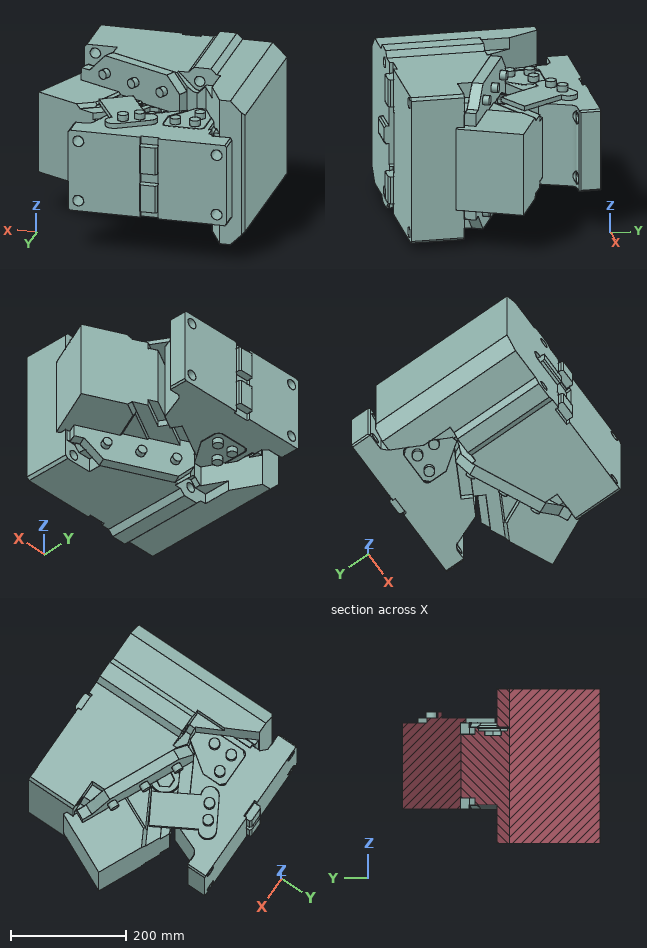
import cadquery as cq
import math


block_length = 340.0
block_top = 285.0
block_half_width = 134.5
left_chamfer = 25.5
right_chamfer = 5.0
lip_chamfer_x = 5.5
lip_chamfer_y = 4.5
end_height = 94.0
end_ledge_x = 281.0
notch_top_x = 45.0
notch_bottom_x = 96.0
notch_bottom_y = 185.0
notch_floor_width = 16.3

boss_length = 174.0
boss_height = 145.0
boss_crest_width = 30.5
upper_boss_centre = 105.3
lower_boss_centre = 110.5
hole_diameter = 18.5
hole_xs = (110.5, 319.8)
hole_z = 119.5

pocket_left = 73.0
pocket_right = 148.5
pocket_step_x = 98.5
pocket_step = 11.5
pocket_low_z = 102.5
pocket_corner_radius = 14.5
ledge_high_z = 107.3
ledge_step_x = 306.5

outer_pad_x = 56.0
outer_pad_top = 283.2
inner_pad_x = 66.0
inner_pad_top = 279.3
outer_pad_half_width = 71.5
inner_pad_half_width = 67.5

keyway_left = 153.7
keyway_width = 33.0
keyway_depth = 6.5
recess_overhang = 3.5
recess_half_width = 58.0
recess_end_half_width = 60.5
recess_depth = 9.5
key_length = 50.0
key_height = 8.7
key_chamfer = 3.0
driver_key_z = 89.8
cross_key_left = 99.5

plate_angle = 25.0
plate_x = 137.0
plate_y = 209.0
plate_thickness = 20.0
plate_left_slope = 29.0
plate_slope_start = 169.2
plate_slope_end = 196.2
plate_step_end = 205.5
plate_left_z = 105.5
plate_tail_z = 98.5
screw_diameter = 16.5
screw_head = 11.5
screw_first = 36.0
screw_spacing = 64.8
screw_z = 103.3

guide_angle = 28.5
guide_x = 310.3
guide_y = 226.5
guide_jog = 81.5
slide_low_offset = 39.0
ledge_left_offset = 45.5
ledge_right_offset = 24.0

slide_tip_x = 397.2
slide_tip_y = 187.0
slide_end_length = 120.5
slide_half_width = 75.0
raised_length = 107.0
deck_drop = 4.5
shelf_drop = 7.5
core_drop = 19.5
raised_chamfer = 4.0
raised_guide_chamfer = 6.8
socket_x = 192.0
socket_y = 186.7
socket_radius = 26.0
socket_rim_radius = 28.0
socket_rim_depth = 2.0
socket_depth = 6.0
hexagon_diameter = 32.5
hexagon_depth = 8.0

flange_left = 16.3
flange_right = 301.0
flange_bottom = 306.3
flange_top = 344.5
flange_chamfer = 3.0
neck_left = 60.5
neck_chamfer = 9.5
neck_right_x = 271.7
neck_fillet = 14.0
neck_lean = 21.3
holder_key_left = 139.5
holder_key_width = 32.0
holder_keyway_depth = 5.5
holder_key_z = 35.8
mount_hole_diameter = 19.5
mount_hole_inset = 18.0
spotface_diameter = 26.0
mount_hole_z = 55.5

guard_left = 76.0
guard_right = 150.0
guard_top = 280.5
guard_shoulder = 238.0
guard_corner = 8.7
guard_recess_depth = 3.0
guard_thickness = 1.5
guard_screw_top_z = 84.2
guard_screw_diameter = 18.5
guard_screws = ((95.7, 260.2), (131.0, 260.2), (95.7, 225.0))

retainer_angle = 30.0
retainer_x = 176.8
retainer_y = 271.0
retainer_length = 61.0
retainer_radius = 16.0
retainer_stem = 102.0
retainer_thickness = 8.7
retainer_pin_spacing = 30.0
retainer_pin_diameter = 18.5
retainer_pin_height = 11.0


def along(x, y, angle, distance, offset=0.0):
    """Point at a distance along a direction and at an offset to the left of it."""
    a = math.radians(angle)
    return (
        x + distance * math.cos(a) - offset * math.sin(a),
        y + distance * math.sin(a) + offset * math.cos(a),
    )


def on_plate(distance, height=0.0):
    """Point on the foot plate, measured down its top line and away from it."""
    return along(plate_x, plate_y, -plate_angle, distance, height)


def on_guide(distance, offset):
    """Point on the guide, measured back from its upper end and upwards from its line."""
    return along(guide_x, guide_y, guide_angle, -distance, offset)


def on_slide(distance, drop=0.0):
    """Point on the slide, measured back from its tip and down from its top line."""
    return along(slide_tip_x, slide_tip_y, -plate_angle, -distance, -drop)


def meet(p, angle_p, q, angle_q):
    """Crossing point of two lines, each given by a point and an angle."""
    a = math.radians(angle_p)
    b = math.radians(angle_q)
    t = ((q[0] - p[0]) * math.sin(b) - (q[1] - p[1]) * math.cos(b)) / math.sin(b - a)
    return along(*p, angle_p, t)


def prism(points, low, high):
    """Outline in XY extruded from one Z level to another."""
    return cq.Workplane("XY").workplane(offset=low).polyline(points).close().extrude(high - low)


def slab(points, half_width):
    """Outline in XY extruded equally to both sides of the middle plane."""
    return prism(points, -half_width, half_width)


def profile_along_y(points, start, end):
    """Outline in XZ extruded from one Y level to another."""
    return cq.Workplane("XZ", origin=(0, start, 0)).polyline(points).close().extrude(start - end)


def box(x0, x1, y0, y1, z0, z1):
    """Box between two corners."""
    return cq.Workplane("XY").box(x1 - x0, y1 - y0, z1 - z0, False).translate((x0, y0, z0))


def upright(x, y, diameter, low, high):
    """Cylinder along Z."""
    return cq.Workplane("XY", origin=(x, y, low)).circle(diameter / 2).extrude(high - low)


def both_sides(shape):
    """Shape joined with its mirror image on the other Z side."""
    return shape.union(shape.mirror("XY"))


plate_length = (block_length - plate_x) / math.cos(math.radians(plate_angle))
plate_corner = (plate_x, plate_y)
ramp_start = on_plate(0, -plate_thickness)
ramp_end = meet(ramp_start, -plate_angle, (0, end_height), 0)
notch_slope = math.degrees(math.atan2(notch_bottom_y - block_top, notch_bottom_x - notch_top_x))
notch_floor_right = notch_bottom_x + notch_floor_width
pad_foot = meet((notch_top_x, block_top), notch_slope, (inner_pad_x, 0), 90)
guard_foot = meet((notch_top_x, block_top), notch_slope, (guard_left, 0), 90)
guard_slope = math.degrees(
    math.atan2(guard_shoulder - notch_bottom_y, guard_right - notch_floor_right)
)
guide_tilt = math.radians(guide_angle)
bearing_offset = (plate_y - guide_y) * math.cos(guide_tilt) - (plate_x - guide_x) * math.sin(guide_tilt)
heel = meet((notch_floor_right, notch_bottom_y), guard_slope, plate_corner, guide_angle)




def driver_block():
    """Block with its side outline in XZ, its V notch and its ramp."""
    section = [
        (0, block_half_width - left_chamfer),
        (left_chamfer, block_half_width),
        (block_length - right_chamfer, block_half_width),
        (block_length, block_half_width - right_chamfer),
    ]
    mirrored = [(x, -z) for x, z in reversed(section)]
    body = profile_along_y(section + mirrored, 0, block_top)
    outline = [
        (0, 0),
        (block_length, 0),
        (block_length, end_height),
        ramp_end,
        ramp_start,
        (notch_floor_right, notch_bottom_y),
        (notch_bottom_x, notch_bottom_y),
        (notch_top_x, block_top),
        (lip_chamfer_x, block_top),
        (0, block_top - lip_chamfer_y),
    ]
    return body.intersect(slab(outline, block_half_width))


def side_boss(centre):
    """Rib of trapezium section on the +Z side of the block, with 45 degree flanks."""
    height = boss_height - block_half_width
    half_crest = boss_crest_width / 2
    half_foot = half_crest + height
    points = [
        (centre - half_foot, block_half_width),
        (centre - half_crest, boss_height),
        (centre + half_crest, boss_height),
        (centre + half_foot, block_half_width),
    ]
    return profile_along_y(points, 0, boss_length)


def side_pocket():
    """Clearance beside the holder, with a stepped floor and a 45 degree right wall."""
    high = pocket_low_z + pocket_step
    foot_x = pocket_right - (block_half_width - pocket_low_z)
    points = [
        (pocket_left, boss_height),
        (pocket_left, high),
        (pocket_step_x, high),
        (pocket_step_x + pocket_step, pocket_low_z),
        (foot_x, pocket_low_z),
        (pocket_right, block_half_width),
        (pocket_right, boss_height),
    ]
    pocket = profile_along_y(points, boss_length, block_top)
    corner = cq.selectors.NearestToPointSelector((foot_x, boss_length + 4, pocket_low_z))
    return pocket.edges("|Y").edges(corner).fillet(pocket_corner_radius)


def end_pocket():
    """Clearance over the low end of the block, with a step down in its floor."""
    low = ledge_high_z - pocket_step
    points = [
        (end_ledge_x, boss_height),
        (end_ledge_x, ledge_high_z),
        (ledge_step_x, ledge_high_z),
        (ledge_step_x + pocket_step, low),
        (block_length, low),
        (block_length, boss_height),
    ]
    return profile_along_y(points, end_height, block_top)


def stop_pads():
    """Two stepped pads on the steep side of the notch."""
    notch_edge = (notch_top_x, block_top)
    root = (notch_top_x, pad_foot[1])
    inner = [
        meet(notch_edge, notch_slope, (0, inner_pad_top), 0),
        (inner_pad_x, inner_pad_top),
        pad_foot,
        root,
    ]
    outer = [
        meet(notch_edge, notch_slope, (0, outer_pad_top), 0),
        (outer_pad_x, outer_pad_top),
        meet(notch_edge, notch_slope, (outer_pad_x, 0), 90),
        root,
    ]
    return slab(inner, inner_pad_half_width).union(slab(outer, outer_pad_half_width))


def mounting_keyways():
    """Long keyway, wider recess in its middle and a round-ended cross keyway."""
    right = keyway_left + keyway_width
    keyway = box(keyway_left, right, 0, keyway_depth, -boss_height, boss_height)
    inner = recess_half_width - recess_overhang
    half_section = [
        (keyway_left, recess_end_half_width),
        (keyway_left, recess_half_width),
        (keyway_left - recess_overhang, inner),
    ]
    left_side = half_section + [(x, -z) for x, z in reversed(half_section)]
    right_side = [(keyway_left + right - x, z) for x, z in reversed(left_side)]
    recess = profile_along_y(left_side + right_side, 0, recess_depth)
    radius = keyway_width / 2
    cross = box(cross_key_left, keyway_left, 0, keyway_depth, -radius, radius)
    round_end = cq.Workplane("XZ", origin=(cross_key_left, 0, 0)).circle(radius).extrude(-keyway_depth)
    return keyway.union(recess).union(cross).union(round_end)


def driver_keys():
    """Two keys in the long keyway and one in the cross keyway."""
    half = key_length / 2
    key = box(keyway_left, keyway_left + keyway_width, -key_height, keyway_depth, -half, half)
    key = key.faces("<Y").edges("|Z").chamfer(key_chamfer)
    radius = keyway_width / 2
    cross_right = keyway_left - recess_overhang
    cross = box(cross_key_left, cross_right, -key_height, keyway_depth, -radius, radius)
    cross = cross.faces("<Y").edges("|X").chamfer(key_chamfer)
    upper = key.translate((0, 0, driver_key_z))
    lower = key.translate((0, 0, -driver_key_z))
    return cross.union(upper).union(lower)


def corner_holes():
    """Four holes through the block along Y."""
    points = [(x, z) for x in hole_xs for z in (-hole_z, hole_z)]
    return cq.Workplane("XZ").pushPoints(points).circle(hole_diameter / 2).extrude(-block_top)


def make_driver():
    body = driver_block().union(side_boss(upper_boss_centre))
    body = body.union(side_boss(lower_boss_centre).mirror("XY"))
    body = body.cut(both_sides(side_pocket())).cut(both_sides(end_pocket()))
    body = body.union(stop_pads())
    body = body.cut(mounting_keyways()).union(driver_keys())
    return body.cut(corner_holes())




def foot_plate():
    """Inclined plate with screw heads, its ends sloping down towards both Z sides."""
    half_section = [
        (0, plate_left_z),
        (plate_left_slope, block_half_width),
        (plate_slope_start, block_half_width),
        (plate_slope_end, ledge_high_z),
        (plate_step_end, plate_tail_z),
        (plate_length, plate_tail_z),
    ]
    section = half_section + [(s, -z) for s, z in reversed(half_section)]
    a = math.radians(plate_angle)
    plane = cq.Plane(
        origin=(plate_x, plate_y, 0),
        xDir=(math.cos(a), -math.sin(a), 0),
        normal=(-math.sin(a), -math.cos(a), 0),
    )
    plate = cq.Workplane(plane).polyline(section).close().extrude(plate_thickness)
    head_points = [(screw_first + i * screw_spacing, z) for i in range(3) for z in (-screw_z, screw_z)]
    heads = cq.Workplane(plane).pushPoints(head_points).circle(screw_diameter / 2).extrude(-screw_head)
    return plate.union(heads)


def slide_outline(upper_points):
    """Slide outline in XY: the given upper points, then the tip, the hook and the plate."""
    hook = on_slide(0, slide_end_length)
    hook_heel = meet(hook, -plate_angle, (block_length, 0), 90)
    block_corner = (block_length, end_height)
    plate_end = on_plate(plate_length, -plate_thickness)
    lower_points = [hook, hook_heel, block_corner, ramp_end, plate_end, on_plate(plate_length)]
    return upper_points + [on_slide(0)] + lower_points


def stepped_outline(left_offset, right_offset):
    """Slide outline bounded above by two lines along the guide, joined by a jog."""
    left = on_guide(guide_jog, left_offset)
    right = on_guide(guide_jog, right_offset)
    plate_end = meet(plate_corner, -plate_angle, left, guide_angle)
    top_end = meet(right, guide_angle, on_slide(0), -plate_angle)
    return slide_outline([plate_end, left, right, top_end])


def slide_deck():
    """Middle level of the slide, chamfered along the guide line."""
    guide_end = on_guide(0, 0)
    plate_end = meet(plate_corner, -plate_angle, guide_end, guide_angle)
    top_end = meet(guide_end, guide_angle, on_slide(0), -plate_angle)
    half_width = slide_half_width - deck_drop
    deck = slab(slide_outline([plate_end, top_end]), half_width)
    for z in (-half_width, half_width):
        edge = cq.selectors.NearestToPointSelector((*on_guide(guide_jog, 0), z))
        deck = deck.edges(edge).chamfer(shelf_drop - deck_drop)
    return deck


def slide_raised_block():
    """Full-width end of the slide, chamfered along its left side and the guide line."""
    left = on_slide(raised_length + raised_chamfer)
    square = 90 - plate_angle
    foot = meet(left, square, plate_corner, -plate_angle)
    shoulder = meet(left, square, on_guide(0, 0), guide_angle)
    top_end = meet(on_guide(0, 0), guide_angle, on_slide(0), -plate_angle)
    block = slab(slide_outline([foot, shoulder, top_end]), slide_half_width)
    for start, end, size in ((foot, shoulder, raised_chamfer), (shoulder, top_end, raised_guide_chamfer)):
        x = (start[0] + end[0]) / 2
        y = (start[1] + end[1]) / 2
        for z in (-slide_half_width, slide_half_width):
            edge = cq.selectors.NearestToPointSelector((x, y, z))
            block = block.edges(edge).chamfer(size)
    return block


def slide_nose():
    """Low nose of the slide that closes the gap between its foot plate and the notch."""
    points = [plate_corner, heel, (notch_floor_right, notch_bottom_y), ramp_start]
    return slab(points, slide_half_width - core_drop)


def screw_socket():
    """Rimmed round recess with a hexagon socket in its floor."""
    level = slide_half_width - shelf_drop
    rim = upright(socket_x, socket_y, 2 * socket_rim_radius, level - socket_rim_depth, level)
    floor = level - socket_depth
    recess = upright(socket_x, socket_y, 2 * socket_radius, floor, level)
    base = cq.Workplane("XY", origin=(socket_x, socket_y, floor - hexagon_depth))
    hexagon = base.polygon(6, hexagon_diameter).extrude(hexagon_depth)
    return rim.union(recess).union(hexagon)


def make_slide():
    core = slide_nose().union(foot_plate())
    guided = slab(stepped_outline(bearing_offset, slide_low_offset), slide_half_width - core_drop)
    shelf = slab(stepped_outline(ledge_left_offset, ledge_right_offset), slide_half_width - shelf_drop)
    body = core.union(guided).union(shelf).cut(screw_socket())
    return body.union(slide_deck()).union(slide_raised_block())




def holder_flange():
    """Flange with chamfered corners along Y and lower end edges."""
    flange = box(
        flange_left, flange_right, flange_bottom, flange_top, -slide_half_width, slide_half_width
    )
    flange = flange.edges("|Y").chamfer(flange_chamfer)
    return flange.faces("<Y").edges("|Z").chamfer(flange_chamfer)


def holder_neck():
    """Neck between the flange, the notch of the driver and the slide."""
    left_bearing = on_guide(guide_jog, bearing_offset)
    right_bearing = on_guide(guide_jog, ledge_left_offset)
    flank = 90 - neck_lean
    points = [
        (neck_left - neck_chamfer, flange_top),
        (neck_left - neck_chamfer, flange_bottom),
        (neck_left, flange_bottom - neck_chamfer),
        (neck_left, inner_pad_top),
        (inner_pad_x, inner_pad_top),
        pad_foot,
        (notch_bottom_x, notch_bottom_y),
        (notch_floor_right, notch_bottom_y),
        heel,
        left_bearing,
        right_bearing,
        meet(right_bearing, guide_angle, (neck_right_x, flange_bottom), flank),
        (neck_right_x, flange_bottom),
        (neck_right_x, flange_top),
    ]
    return slab(points, slide_half_width)


def holder_keyway():
    """Keyway along Z across the top of the flange."""
    right = holder_key_left + holder_key_width
    floor = flange_top - holder_keyway_depth
    return box(holder_key_left, right, floor, flange_top, -slide_half_width, slide_half_width)


def mounting_keys():
    """Two keys in the keyway across the top of the flange."""
    half = key_length / 2
    right = holder_key_left + holder_key_width
    low = flange_top - holder_keyway_depth
    key = box(holder_key_left, right, low, flange_top + key_height, -half, half)
    key = key.faces(">Y").edges("|Z").chamfer(key_chamfer)
    return both_sides(key.translate((0, 0, holder_key_z)))


def mounting_holes():
    """Four holes through the flange, with spot faces on its underside."""
    xs = (flange_left + mount_hole_inset, flange_right - mount_hole_inset)
    points = [(x, z) for x in xs for z in (-mount_hole_z, mount_hole_z)]
    face = cq.Workplane("XZ", origin=(0, flange_bottom, 0)).pushPoints(points)
    holes = face.circle(mount_hole_diameter / 2).extrude(flange_bottom - flange_top)
    spotfaces = face.circle(spotface_diameter / 2).extrude(neck_fillet)
    return holes.union(spotfaces)


def guard_blank(low, high):
    """Pointed outline of the guard plate between two Z levels."""
    points = [
        (guard_left, guard_top),
        (guard_right, guard_top),
        (guard_right, guard_shoulder),
        (notch_floor_right, notch_bottom_y),
        (notch_bottom_x, notch_bottom_y),
        guard_foot,
    ]
    return prism(points, low, high)


def guard_recess():
    """Shallow recess with rounded upper corners for the guard plate."""
    blank = guard_blank(slide_half_width - guard_recess_depth, slide_half_width)
    return blank.faces(">Y").edges("|Z").fillet(guard_corner)


def guard_plate():
    """Guard plate with chamfered upper corners, and the heads of its three screws."""
    low = slide_half_width - guard_recess_depth
    top = low + guard_thickness
    guard = guard_blank(low, top).faces(">Y").edges("|Z").chamfer(guard_corner)
    for x, y in guard_screws:
        guard = guard.union(upright(x, y, guard_screw_diameter, top, guard_screw_top_z))
    return guard


def retainer():
    """T-shaped retainer: a round-ended head with two pins and a stem reaching over the slide."""
    top = slide_half_width + retainer_thickness
    plane = cq.Workplane("XY", origin=(0, 0, slide_half_width))
    half = retainer_length / 2
    head = plane.slot2D(retainer_length + 2 * retainer_radius, 2 * retainer_radius)
    plate = head.extrude(retainer_thickness)
    plate = plate.union(box(-half, half, -retainer_stem, 0, slide_half_width, top))
    for x in (-retainer_pin_spacing / 2, retainer_pin_spacing / 2):
        plate = plate.union(upright(x, 0, retainer_pin_diameter, top, top + retainer_pin_height))
    plate = plate.rotate((0, 0, 0), (0, 0, 1), retainer_angle)
    return plate.translate((*along(retainer_x, retainer_y, retainer_angle, half), 0))


def make_holder():
    body = holder_flange().union(holder_neck())
    inner_corner = cq.selectors.NearestToPointSelector((neck_right_x, flange_bottom, 0))
    body = body.edges("|Z").edges(inner_corner).fillet(neck_fillet)
    body = body.cut(holder_keyway()).cut(mounting_holes()).union(mounting_keys())
    body = body.cut(both_sides(guard_recess())).union(both_sides(guard_plate()))
    return body.union(retainer())


driver = make_driver()
slide = make_slide()
holder = make_holder()

result = cq.Compound.makeCompound([body.solids().val() for body in (driver, slide, holder)])